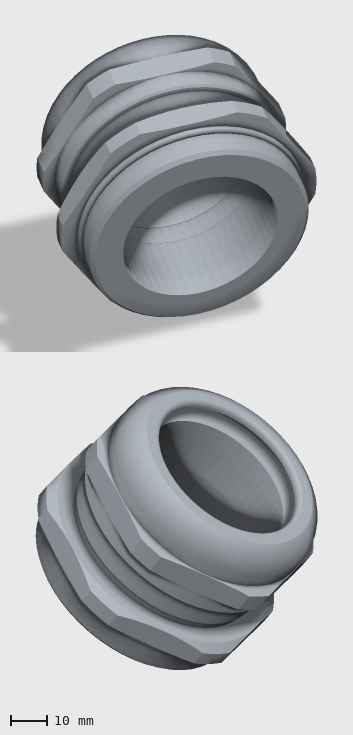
import cadquery as cq
import math


nut_diameter = 63.5
nut_front_diameter = 53.5
nut_end = 25.0
nut_rear_chamfer = 0.6
dome_end = 8.15
mouth_diameter = 44.5
mouth_rounded_diameter = 47.4
mouth_end = 2.05
cavity_cone_end = 5.9
nut_hex_flats = 63.9
nut_hex_corners = 69.9
nut_hex_start = 12.35
nut_hex_end = 19.3
slight_bevel_angle = 10.0

bore_diameter = 44.4
thread_diameter = 57.6
thread_start = 7.7
collar_diameter = 59.3
collar_end = 32.1
neck_diameter = 57.8
neck_start = 33.05
body_hex_flats = 68.0
body_hex_corners = 73.45
body_hex_start = 34.8
body_hex_end = 41.4
steep_bevel_angle = 30.0
ring_seat_diameter = 60.8
entry_diameter = 63.0
entry_start = 43.5
entry_lead_in = 0.5
body_end = 51.5
end_chamfer = 1.1
rear_bore_diameter = 44.5
rear_bore_start = 30.7

insert_bore_diameter = 44.0
insert_diameter = 47.4
insert_end = 24.7

ring_section_radius = 1.0


def turned(profile):
    """Revolve a closed (x, radius) profile about the X axis."""
    return profile.close().revolve(360, (0, 0, 0), (1, 0, 0))


def cylinder(diameter, start, end):
    return cq.Workplane("YZ", origin=(start, 0, 0)).circle(diameter / 2).extrude(end - start)


def bevelled_hexagon(flats, corners, start, end, front_angle, rear_angle):
    """Hexagon with flats at +Z and -Z, its corners turned round and bevelled down to the flats."""
    sharp_corners = flats / math.cos(math.radians(30))
    prism = (
        cq.Workplane("YZ", origin=(start, 0, 0))
        .polygon(6, sharp_corners)
        .extrude(end - start)
    )
    bevel_height = (corners - flats) / 2
    front_bevel = bevel_height * math.tan(math.radians(front_angle))
    rear_bevel = bevel_height * math.tan(math.radians(rear_angle))
    envelope = turned(
        cq.Workplane("XY")
        .moveTo(start, 0)
        .lineTo(start, flats / 2)
        .lineTo(start + front_bevel, corners / 2)
        .lineTo(end - rear_bevel, corners / 2)
        .lineTo(end, flats / 2)
        .lineTo(end, 0)
    )
    return prism.intersect(envelope)


def make_nut():
    radius = nut_diameter / 2
    dome_drop = (nut_diameter - nut_front_diameter) / 2
    dome_radius = (dome_end**2 + dome_drop**2) / (2 * dome_drop)
    half_angle = math.asin(dome_end / dome_radius) / 2
    dome_middle = (
        dome_end - dome_radius * math.sin(half_angle),
        radius - dome_radius * (1 - math.cos(half_angle)),
    )
    shell = turned(
        cq.Workplane("XY")
        .moveTo(0, 0)
        .lineTo(0, nut_front_diameter / 2)
        .threePointArc(dome_middle, (dome_end, radius))
        .lineTo(nut_end - nut_rear_chamfer, radius)
        .lineTo(nut_end, radius - nut_rear_chamfer)
        .lineTo(nut_end, 0)
    )
    hexagon = bevelled_hexagon(
        nut_hex_flats, nut_hex_corners, nut_hex_start, nut_hex_end,
        slight_bevel_angle, slight_bevel_angle,
    )
    mouth_round = (mouth_rounded_diameter - mouth_diameter) / 2
    cavity = turned(
        cq.Workplane("XY")
        .moveTo(0, 0)
        .lineTo(0, mouth_rounded_diameter / 2)
        .radiusArc((mouth_round, mouth_diameter / 2), -mouth_round)
        .lineTo(mouth_end, mouth_diameter / 2)
        .lineTo(cavity_cone_end, thread_diameter / 2)
        .lineTo(nut_end, thread_diameter / 2)
        .lineTo(nut_end, 0)
    )
    return shell.union(hexagon).cut(cavity)


def make_body():
    turned_body = turned(
        cq.Workplane("XY")
        .moveTo(thread_start, 0)
        .lineTo(thread_start, thread_diameter / 2)
        .lineTo(nut_end, thread_diameter / 2)
        .lineTo(nut_end, collar_diameter / 2)
        .lineTo(collar_end, collar_diameter / 2)
        .lineTo(neck_start, neck_diameter / 2)
        .lineTo(body_hex_start, neck_diameter / 2)
        .lineTo(body_hex_end, ring_seat_diameter / 2)
        .lineTo(entry_start, ring_seat_diameter / 2)
        .lineTo(entry_start, entry_diameter / 2 - entry_lead_in)
        .lineTo(entry_start + entry_lead_in, entry_diameter / 2)
        .lineTo(body_end - end_chamfer, entry_diameter / 2)
        .lineTo(body_end, entry_diameter / 2 - end_chamfer)
        .lineTo(body_end, 0)
    )
    hexagon = bevelled_hexagon(
        body_hex_flats, body_hex_corners, body_hex_start, body_hex_end,
        steep_bevel_angle, slight_bevel_angle,
    )
    body = turned_body.union(hexagon)
    body = body.cut(cylinder(insert_diameter, thread_start, insert_end))
    body = body.cut(cylinder(bore_diameter, insert_end, rear_bore_start))
    return body.cut(cylinder(rear_bore_diameter, rear_bore_start, body_end))


def make_insert():
    return cylinder(insert_diameter, thread_start, insert_end).cut(
        cylinder(insert_bore_diameter, thread_start, insert_end)
    )


def make_ring():
    centre_radius = ring_seat_diameter / 2 + ring_section_radius
    centre_x = body_hex_end + ring_section_radius
    section = cq.Workplane("XY").center(centre_x, centre_radius).circle(ring_section_radius)
    return section.revolve(360, (0, -centre_radius, 0), (1, -centre_radius, 0))


nut = make_nut()
body = make_body()
insert = make_insert()
o_ring = make_ring()

result = cq.Compound.makeCompound([nut.val(), body.val(), insert.val(), o_ring.val()])